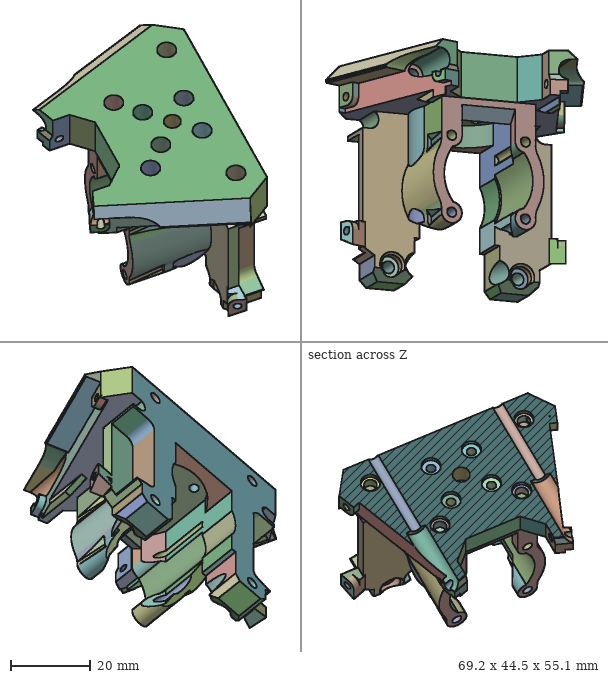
import cadquery as cq
import math


HALF_WIDTH = 34.6
HEIGHT = 55.1
FRONT_REACH = 44.5
OVERSHOOT = 0.7

SIDE_ANGLE = 20.0
PLATE_DEPTH = 11.8
BACK_HALF_WIDTH = 26.0
SIDE_START_Y = -6.65
SIDE_LENGTH = 39.5
INNER_HALF_WIDTH = 12.4
RECESS_HALF_WIDTH = 7.6
RECESS_Y = -32.55
RECESS_CORNER_Y = -37.45
WALL_INSET = 2.0

FLANGE_WIDTH = 4.4
FLANGE_SLOPE_DEPTH = 4.2
FLANGE_DEPTH = 5.0
FLANGE_BEVEL = 0.35

SCREW_X = 17.5
SCREW_RADIUS = 1.6
HEAD_RADIUS = 2.8
PLATE_SCREW_DEPTH = 5.05
LEG_SCREW_DEPTH = 51.2
HEAD_FLOOR_Y = -24.25
LEG_HEAD_FLOOR_Y = -7.6
LEG_HEAD_BEVEL = 0.6
FOOT_SCOOP_RADIUS = 3.1
FOOT_SCOOP_X = 10.7
FOOT_SCOOP_DEPTH = 50.5

PIN_RADIUS = 1.05
PIN_DEPTH = 8.3
PIN_LENGTH = 8.3
BOSS_BOTTOM = 10.65
BOSS_ROUND = 2.2
BACK_BOSS_LENGTH = 5.1
FRONT_BOSS_LENGTH = 4.0
FRONT_PIN_ALONG = 37.75
LIP_TOP = 7.75
LIP_BLEND_TOP = 6.15

RIB_X = (15.3, 17.1)
RIB_BOTTOM = 13.7
RIB_Y = (-26.3, -32.1, -41.75)

MOTOR_Y = -14.6
MOTOR_WALL_RADIUS = 13.85
MOTOR_RADIUS = 11.4
MOTOR_HALF_WIDTH = 10.2
MOTOR_TAPER_Y = -23.2
SHAFT_RADIUS = 2.15
MOTOR_SCREW_OFFSET = 5.7
MOTOR_SCREW_RADIUS = 1.2
TOP_HEAD_RADIUS = 2.4
TOP_HEAD_DEPTH = 6.9
PILOT_RADIUS = 1.65
PILOT_DEPTH = 9.7
PLATE_SCREWS = [(21.6, -6.65), (11.5, -25.7)]

CLAMP_DEPTH = 31.7
CLAMP_BORE = 12.0
CLAMP_RADIUS = 14.95
CLAMP_FRONT_Y = -32.1
CLAMP_SCREW = 10.0
CLAMP_SCREW_RADIUS = 1.25
CLAMP_BOSS = 2.8
RING_INNER_X = 8.7
SLOPE_TOP_DEPTH = 38.85
SLOPE_END_Y = -24.1
BRIDGE_TOP = 13.6
BRIDGE_BOTTOM = 16.75
POCKET_BACK_Y = -22.5
POCKET_INSET = 1.05
POCKET_FLOOR = 1.5
POCKET_FLARE = 1.3
CLAMP_BLEND = 4.85

LEG_Y = -10.45
LEG_OUTER = 25.55
LEG_INNER = MOTOR_HALF_WIDTH
FOOT_INNER = 11.5
FOOT_OUTER = 22.4
FOOT_BOTTOM_X = (13.0, 20.5)
FOOT_BEVEL_DEPTH = 53.25
FOOT_STEP_DEPTH = 43.6
SHOULDER_DEPTH = 16.3
NOTCH_X = 23.7
NOTCH_DEPTH = 13.85
LEG_BORE = 11.5
BACK_WALL_DEPTH = 17.5
RELIEF_FRONT_Y = -7.55
RELIEF_X = 18.0
RELIEF_DEPTHS = (17.45, 47.0)
RELIEF_ROUND = 2.3
RELIEF_LIP = (23.8, 48.0)
FOOT_DROP = 2.1
FOOT_FRONT_BEVEL = 2.9

EAR_DEPTHS = (40.65, 47.15)
EAR_CORNER = (28.9, -11.9)
EAR_LENGTH = 4.6
EAR_WIDTH = 5.55
EAR_PIN_DEPTH = 43.2
EAR_BEVEL = 2.1
EAR_ROUND = 2.3
EAR_ROUND_WIDTH = 2.1
EAR_INNER_X = 23.55

SIN = math.sin(math.radians(SIDE_ANGLE))
COS = math.cos(math.radians(SIDE_ANGLE))
SIDE_START_X = HALF_WIDTH - FLANGE_WIDTH * COS
BRIDGE_BACK_Y = CLAMP_FRONT_Y + BRIDGE_BOTTOM - BRIDGE_TOP
CLAMP_INNER = CLAMP_SCREW - CLAMP_BOSS
CLAMP_OUTER = CLAMP_SCREW + CLAMP_BOSS
LIP_REACH = (FRONT_REACH + SIDE_START_Y) / COS - SIDE_LENGTH


def side_point(along, out):
    """XY of a point measured along the slanted side and outward from it."""
    return (
        SIDE_START_X - along * SIN + out * COS,
        SIDE_START_Y - along * COS - out * SIN,
    )


def side_plane(out=0.0):
    """Plane parallel to the slanted side: local x runs forward, local y runs down."""
    x, y = side_point(0, out)
    return cq.Workplane(cq.Plane((x, y, 0), (-SIN, -COS, 0), (COS, -SIN, 0)))


def section_plane():
    """Plane across the slanted side: local x runs outward, local y is Z."""
    x, y = side_point(0, 0)
    return cq.Workplane(cq.Plane((x, y, 0), (COS, -SIN, 0), (-SIN, -COS, 0)))


def slab(points, top, bottom):
    """Vertical prism between two depths below the plate top."""
    return cq.Workplane("XY", origin=(0, 0, -bottom)).polyline(points).close().extrude(bottom - top)


def box(x, y, depths):
    """Box from pairs of X, Y and depth limits."""
    size = (x[1] - x[0], abs(y[1] - y[0]), depths[1] - depths[0])
    corner = (x[0], min(y), -depths[1])
    return cq.Workplane("XY").box(*size, centered=False).translate(corner)


def rod_y(x, depth, radius, back, front):
    """Cylinder along Y."""
    return cq.Workplane("XZ", origin=(x, back, -depth)).circle(radius).extrude(back - front)


def rod_z(x, y, radius, top, bottom):
    """Vertical cylinder between two depths."""
    return cq.Workplane("XY", origin=(x, y, -bottom)).circle(radius).extrude(bottom - top)


def plate():
    """Top plate; below the flange its slanted side steps inward."""
    front_outer = side_point(SIDE_LENGTH, 0)
    front_inner_y = front_outer[1] + (front_outer[0] - INNER_HALF_WIDTH) * SIN / COS
    front = [
        (INNER_HALF_WIDTH, front_inner_y),
        (INNER_HALF_WIDTH, RECESS_CORNER_Y),
        (RECESS_HALF_WIDTH, RECESS_Y),
        (0, RECESS_Y),
        (0, 0),
        (BACK_HALF_WIDTH, 0),
    ]
    upper = slab([side_point(0, 0), front_outer] + front, 0, FLANGE_DEPTH)
    wall = [side_point(0, 0), side_point(0, -WALL_INSET), side_point(SIDE_LENGTH, -WALL_INSET)]
    return upper.union(slab(wall + front, FLANGE_DEPTH, PLATE_DEPTH))


def flange():
    """Sloped flange with a narrow bevelled rim."""
    profile = [
        (0, 0),
        (FLANGE_WIDTH, -FLANGE_SLOPE_DEPTH),
        (FLANGE_WIDTH, FLANGE_BEVEL - FLANGE_DEPTH),
        (FLANGE_WIDTH - FLANGE_BEVEL, -FLANGE_DEPTH),
        (-WALL_INSET, -FLANGE_DEPTH),
        (-WALL_INSET, 0),
    ]
    return section_plane().polyline(profile).close().extrude(SIDE_LENGTH)


def side_boss(start, length, rounded):
    """Boss standing out from the side wall, reaching into the flange, one lower corner rounded."""
    height = BOSS_BOTTOM - FLANGE_SLOPE_DEPTH
    boss = (
        side_plane(-WALL_INSET)
        .center(start + length / 2, BOSS_BOTTOM - height / 2)
        .rect(length, height)
        .extrude(WALL_INSET)
    )
    corner = cq.selectors.NearestToPointSelector(
        (*side_point(rounded, -WALL_INSET / 2), -BOSS_BOTTOM)
    )
    return boss.edges(corner).fillet(BOSS_ROUND)


def front_lip():
    """Lower part of the plate front that stands out past its end face."""
    inner = (side_point(SIDE_LENGTH, 0)[0] - INNER_HALF_WIDTH) / COS
    end = SIDE_LENGTH + LIP_REACH

    def lip(start, stop, bottom):
        profile = [(SIDE_LENGTH, LIP_BLEND_TOP), (end, LIP_TOP), (end, bottom), (SIDE_LENGTH, bottom)]
        return side_plane(start).polyline(profile).close().extrude(stop - start)

    solid = lip(-inner - OVERSHOOT, -WALL_INSET, PLATE_DEPTH).union(lip(-WALL_INSET, 0, BOSS_BOTTOM))
    return solid.intersect(box((INNER_HALF_WIDTH, HALF_WIDTH), (0, -FRONT_REACH), (0, PLATE_DEPTH)))


def rib():
    """Rib under the plate front, trimmed to the side wall."""
    start, full, front = RIB_Y
    profile = [
        (start, -PLATE_DEPTH),
        (full, -RIB_BOTTOM),
        (front, -RIB_BOTTOM),
        (front, -BOSS_BOTTOM),
        (start, -BOSS_BOTTOM),
    ]
    solid = cq.Workplane("YZ", origin=(RIB_X[0], 0, 0)).polyline(profile).close()
    solid = solid.extrude(RIB_X[1] - RIB_X[0])
    outside = [
        side_point(0, -WALL_INSET),
        side_point(SIDE_LENGTH, -WALL_INSET),
        side_point(SIDE_LENGTH, WALL_INSET),
        side_point(0, WALL_INSET),
    ]
    return solid.cut(slab(outside, 0, HEIGHT))


def clamp_blend(side):
    """Concave fillet between the clamp ring and the flat wall, above (1) or below (-1) the axis."""
    center_x = CLAMP_OUTER + CLAMP_BLEND
    center_z = math.sqrt((CLAMP_RADIUS + CLAMP_BLEND) ** 2 - center_x**2)
    ring_angle = math.atan2(center_z, center_x)
    on_ring = (CLAMP_RADIUS * math.cos(ring_angle), side * CLAMP_RADIUS * math.sin(ring_angle))
    middle = (
        center_x - CLAMP_BLEND * math.cos(ring_angle / 2),
        side * (center_z - CLAMP_BLEND * math.sin(ring_angle / 2)),
    )
    profile = (
        cq.Workplane("XZ", origin=(0, LEG_Y, -CLAMP_DEPTH))
        .moveTo(CLAMP_OUTER, side * center_z)
        .threePointArc(middle, on_ring)
        .lineTo(CLAMP_SCREW, side * CLAMP_RADIUS / 2)
        .lineTo(CLAMP_SCREW, side * center_z)
        .close()
    )
    return profile.extrude(LEG_Y - CLAMP_FRONT_Y)


def clamp_arm():
    """Half of the horizontal clamp: a ring sector, two screw bosses and the wall above."""
    screw_depths = (CLAMP_DEPTH - CLAMP_SCREW, CLAMP_DEPTH + CLAMP_SCREW)
    y = (LEG_Y, CLAMP_FRONT_Y)
    tangent = math.sqrt(CLAMP_RADIUS**2 - CLAMP_OUTER**2)
    motor = rod_z(0, MOTOR_Y, MOTOR_WALL_RADIUS, PLATE_DEPTH, HEIGHT)
    motor = motor.intersect(box((CLAMP_INNER, HALF_WIDTH), y, (PLATE_DEPTH, screw_depths[1])))
    ring = rod_y(0, CLAMP_DEPTH, CLAMP_RADIUS, *y)
    ring = ring.intersect(box((RING_INNER_X, HALF_WIDTH), y, screw_depths))
    arm = ring.union(motor)
    arm = arm.union(box((CLAMP_INNER, CLAMP_OUTER), y, (PLATE_DEPTH, screw_depths[0])))
    arm = arm.union(box((CLAMP_SCREW, CLAMP_OUTER), y, (screw_depths[0], CLAMP_DEPTH - tangent)))
    arm = arm.union(box((CLAMP_SCREW, CLAMP_OUTER), y, (CLAMP_DEPTH + tangent, screw_depths[1])))
    arm = arm.union(clamp_blend(1)).union(clamp_blend(-1))
    arm = arm.cut(rod_y(0, CLAMP_DEPTH, CLAMP_BORE, *y))
    for depth in screw_depths:
        arm = arm.union(rod_y(CLAMP_SCREW, depth, CLAMP_BOSS, *y))
    below = [
        (LEG_Y, -SLOPE_TOP_DEPTH),
        (SLOPE_END_Y, -screw_depths[1] - CLAMP_BOSS),
        (SLOPE_END_Y, -HEIGHT),
        (LEG_Y, -HEIGHT),
    ]
    return arm.cut(cq.Workplane("YZ").polyline(below).close().extrude(HALF_WIDTH))


def bridge():
    """Wall joining the clamp arms under the plate, bevelled underneath."""
    profile = [
        (CLAMP_FRONT_Y, -PLATE_DEPTH),
        (CLAMP_FRONT_Y, -BRIDGE_TOP),
        (BRIDGE_BACK_Y, -BRIDGE_BOTTOM),
        (MOTOR_Y, -BRIDGE_BOTTOM),
        (MOTOR_Y, -PLATE_DEPTH),
    ]
    return cq.Workplane("YZ").polyline(profile).close().extrude(CLAMP_SCREW)


def leg():
    """Back leg with its notch, foot bevels and rear relief, plus the wall under the plate."""
    outline = [
        (LEG_INNER, -PLATE_DEPTH),
        (LEG_OUTER, -PLATE_DEPTH),
        (LEG_OUTER, -RELIEF_DEPTHS[1]),
        (FOOT_OUTER, -RELIEF_DEPTHS[1] - FOOT_DROP),
        (FOOT_OUTER, -FOOT_BEVEL_DEPTH),
        (FOOT_BOTTOM_X[1], -HEIGHT),
        (FOOT_BOTTOM_X[0], -HEIGHT),
        (FOOT_INNER, -FOOT_BEVEL_DEPTH),
        (FOOT_INNER, -FOOT_STEP_DEPTH),
        (LEG_INNER, -FOOT_STEP_DEPTH),
    ]
    solid = cq.Workplane("XZ").polyline(outline).close().extrude(-LEG_Y)
    solid = solid.faces("<Z").edges("<Y").chamfer(FOOT_FRONT_BEVEL)
    solid = solid.union(box((0, LEG_INNER), (0, LEG_Y), (PLATE_DEPTH, BACK_WALL_DEPTH)))
    notch = rod_y(NOTCH_X, NOTCH_DEPTH, SHOULDER_DEPTH - NOTCH_DEPTH, 0, LEG_Y)
    notch = notch.union(box((NOTCH_X, HALF_WIDTH), (0, LEG_Y), (PLATE_DEPTH, SHOULDER_DEPTH)))
    floor = RELIEF_DEPTHS[1]
    relief = box((RELIEF_X, HALF_WIDTH), (0, RELIEF_FRONT_Y), RELIEF_DEPTHS)
    relief = relief.edges("|Y and <X").fillet(RELIEF_ROUND)
    ramp = [(RELIEF_X + RELIEF_ROUND, -floor), (RELIEF_LIP[0], -RELIEF_LIP[1]), (HALF_WIDTH, -floor)]
    relief = relief.union(cq.Workplane("XZ").polyline(ramp).close().extrude(-RELIEF_FRONT_Y))
    return solid.cut(notch).cut(relief).cut(rod_y(0, CLAMP_DEPTH, LEG_BORE, 0, LEG_Y))


def ear():
    """Slanted block on the leg edge, with a rounded front corner, a pin and a bevelled underside."""
    top, bottom = EAR_DEPTHS
    height = bottom - top
    x, y = EAR_CORNER
    face = cq.Workplane(cq.Plane((x, y, -top), (SIN, COS, 0), (-COS, SIN, 0)))
    profile = [(0, 0), (EAR_LENGTH, 0), (EAR_LENGTH, height - EAR_BEVEL), (0, height)]
    block = face.polyline(profile).close().extrude(EAR_WIDTH)
    corner = (
        face.moveTo(0, 0)
        .lineTo(EAR_ROUND, 0)
        .radiusArc((0, EAR_ROUND), EAR_ROUND)
        .close()
        .extrude(EAR_ROUND_WIDTH)
    )
    pin = face.center(EAR_LENGTH / 2, EAR_PIN_DEPTH - top).circle(PIN_RADIUS).extrude(EAR_WIDTH)
    block = block.cut(corner).cut(pin)
    return block.intersect(box((EAR_INNER_X, HALF_WIDTH), (RELIEF_FRONT_Y, -FRONT_REACH), EAR_DEPTHS))


def top_holes():
    """Shaft hole, through motor screws and blind plate screws, with head bores on top."""
    tools = rod_z(0, MOTOR_Y, SHAFT_RADIUS, 0, HEIGHT)
    for side in (-1, 1):
        y = MOTOR_Y + side * MOTOR_SCREW_OFFSET
        tools = tools.union(rod_z(MOTOR_SCREW_OFFSET, y, MOTOR_SCREW_RADIUS, 0, HEIGHT))
        tools = tools.union(rod_z(MOTOR_SCREW_OFFSET, y, TOP_HEAD_RADIUS, 0, TOP_HEAD_DEPTH))
    for x, y in PLATE_SCREWS:
        tools = tools.union(rod_z(x, y, TOP_HEAD_RADIUS, 0, TOP_HEAD_DEPTH))
        tools = tools.union(rod_z(x, y, PILOT_RADIUS, 0, PILOT_DEPTH))
    return tools


def plate_screw():
    """Screw along Y; its head bore breaks out of the side wall and through the flange."""
    tools = rod_y(SCREW_X, PLATE_SCREW_DEPTH, SCREW_RADIUS, 0, -FRONT_REACH)
    past_front = -FRONT_REACH - OVERSHOOT
    tools = tools.union(rod_y(SCREW_X, PLATE_SCREW_DEPTH, HEAD_RADIUS, HEAD_FLOOR_Y, past_front))
    center = (SIDE_START_X - WALL_INSET / COS - SCREW_X) / SIN - WALL_INSET * SIN / COS
    reach = HEAD_RADIUS / SIN
    wall = side_plane(-WALL_INSET)
    rear = wall.center(center - reach / 2, PLATE_SCREW_DEPTH)
    rear = rear.rect(reach, 2 * HEAD_RADIUS).extrude(HALF_WIDTH)
    window = wall.center(center, PLATE_SCREW_DEPTH).ellipse(reach, HEAD_RADIUS).extrude(HALF_WIDTH)
    sweep = [
        side_point(center, -WALL_INSET),
        (SCREW_X, past_front),
        (HALF_WIDTH, past_front),
        side_point(center, FLANGE_WIDTH + OVERSHOOT),
    ]
    front = slab(sweep, PLATE_SCREW_DEPTH - HEAD_RADIUS, PLATE_SCREW_DEPTH + HEAD_RADIUS)
    return tools.union(window.intersect(rear)).union(front)


def foot_screw():
    """Screw through the foot with a bevelled head bore, and the scoop in the inner edge."""
    tools = rod_y(SCREW_X, LEG_SCREW_DEPTH, SCREW_RADIUS, 0, LEG_Y)
    head = rod_y(SCREW_X, LEG_SCREW_DEPTH, HEAD_RADIUS, LEG_HEAD_FLOOR_Y, LEG_Y)
    mouth = (
        cq.Workplane("XZ", origin=(SCREW_X, LEG_Y, -LEG_SCREW_DEPTH))
        .circle(HEAD_RADIUS + LEG_HEAD_BEVEL)
        .workplane(offset=-LEG_HEAD_BEVEL)
        .circle(HEAD_RADIUS)
        .loft()
    )
    scoop_plane = cq.Plane((FOOT_SCOOP_X, LEG_Y, -FOOT_SCOOP_DEPTH), (0, 0, 1), (-SIN, COS, 0))
    scoop = cq.Workplane(scoop_plane).circle(FOOT_SCOOP_RADIUS).extrude(-LEG_Y, both=True)
    return tools.union(head).union(mouth).union(scoop)


def cross_pins():
    """Pin holes square to the slanted side through both side bosses."""
    spots = [(BACK_BOSS_LENGTH / 2, PIN_DEPTH), (FRONT_PIN_ALONG, PIN_DEPTH)]
    return side_plane().pushPoints(spots).circle(PIN_RADIUS).extrude(-PIN_LENGTH)


def motor_seat():
    """Opening between the clamp arms: round at the back, tapered towards the bridge."""
    arc_y = MOTOR_Y + math.sqrt(MOTOR_RADIUS**2 - MOTOR_HALF_WIDTH**2)
    outline = (
        cq.Workplane("XY", origin=(0, 0, -HEIGHT))
        .moveTo(-CLAMP_INNER, BRIDGE_BACK_Y)
        .lineTo(CLAMP_INNER, BRIDGE_BACK_Y)
        .lineTo(MOTOR_HALF_WIDTH, MOTOR_TAPER_Y)
        .lineTo(MOTOR_HALF_WIDTH, arc_y)
        .threePointArc((0, MOTOR_Y + MOTOR_RADIUS), (-MOTOR_HALF_WIDTH, arc_y))
        .lineTo(-MOTOR_HALF_WIDTH, MOTOR_TAPER_Y)
        .close()
    )
    return outline.extrude(HEIGHT - PLATE_DEPTH)


def screw_pocket(depth):
    """Flared pocket in the outer wall beside a clamp screw, running out at the front face."""
    inner = CLAMP_OUTER - POCKET_INSET
    width = 2 * POCKET_INSET
    half_floor = POCKET_FLOOR / 2
    half_mouth = half_floor + POCKET_FLARE * width
    section = [(0, -half_floor), (width, -half_mouth), (width, half_mouth), (0, half_floor)]
    return (
        cq.Workplane("XZ", origin=(inner, POCKET_BACK_Y, -depth))
        .polyline(section)
        .close()
        .workplane(offset=POCKET_BACK_Y - CLAMP_FRONT_Y)
        .polyline([(x + POCKET_INSET, z) for x, z in section])
        .close()
        .loft(ruled=True)
    )


def clamp_cuts():
    """Motor seat, clamp screw holes and their pockets."""
    tools = motor_seat()
    for side in (-1, 1):
        depth = CLAMP_DEPTH + side * CLAMP_SCREW
        tools = tools.union(rod_y(CLAMP_SCREW, depth, CLAMP_SCREW_RADIUS, LEG_Y, CLAMP_FRONT_Y))
        tools = tools.union(screw_pocket(depth))
    return tools


front_boss_start = SIDE_LENGTH - FRONT_BOSS_LENGTH
half = (
    plate()
    .union(flange())
    .union(side_boss(0, BACK_BOSS_LENGTH, BACK_BOSS_LENGTH))
    .union(side_boss(front_boss_start, FRONT_BOSS_LENGTH, front_boss_start))
    .union(front_lip())
    .union(rib())
    .union(clamp_arm())
    .union(bridge())
    .union(leg())
)
half = half.cut(clamp_cuts()).union(ear())
half = half.cut(top_holes()).cut(plate_screw()).cut(foot_screw()).cut(cross_pins())
half = half.intersect(box((0, HALF_WIDTH), (0, -FRONT_REACH), (0, HEIGHT)))
result = half.mirror("YZ").union(half).clean()